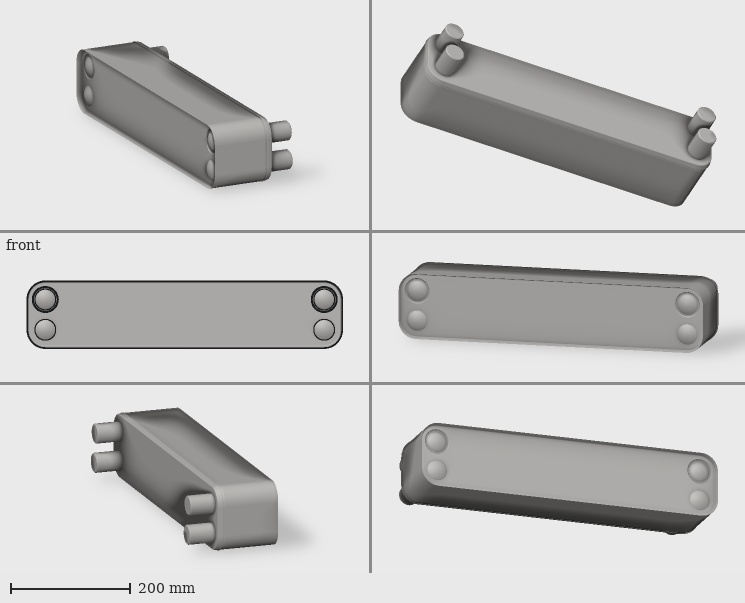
import cadquery as cq
import math

sheet = 1.5
dish_depth = 8.5
skirt_inset = 2.0
floor_fillet = 1.5
cover_length = 527.5
cover_height = 113.0
cover_corner = 31.0
cover_back = 107.0

rim_step = 1.0
pack_length = cover_length - 2 * rim_step
pack_height = cover_height - 2 * rim_step
pack_corner = 29.5
pack_shoulder = 94.0
pack_back = cover_back - sheet
pack_inset = 2.5

port_x = 233.0
port_z = 25.5
left_and_right = (-port_x, port_x)
pipe_radius = 17.0
pipe_length = 43.0
pipe_chamfer = 1.5
dome_radius = 17.5
dome_height = 6.5
dent_rim_radius = 21.5
dent_floor_radius = 20.0
dent_depth = 2.0


def facing_back(x, y, z):
    """Workplane at a point, with its normal along +Y."""
    return cq.Workplane(cq.Plane(origin=(x, y, z), xDir=(1, 0, 0), normal=(0, 1, 0)))


def rounded_block(length, height, corner, start, end, inset=0.0):
    """Rounded rectangle from Y = start to Y = end, leaning in by inset on every side."""
    taper = math.degrees(math.atan2(inset, end - start))
    outline = cq.Sketch().rect(length, height).vertices().fillet(corner)
    return facing_back(0, start, 0).placeSketch(outline).extrude(end - start, taper=taper)


def dish_form(length, height, corner, rim):
    """Solid with the shape of a dish's hollow, its wide end at Y = rim."""
    form = rounded_block(length, height, corner, rim, rim + dish_depth, skirt_inset)
    return form.faces(">Y").edges().fillet(floor_fillet)


def dished_plate(length, height, corner, rim):
    """Sheet dish opening towards -Y whose skirt thins to an edge at the rim."""
    band = rounded_block(length, height, corner, rim, rim + sheet)
    outside = dish_form(length, height, corner, rim + sheet)
    return band.union(outside).cut(dish_form(length, height, corner, rim))


def dent(x, floor):
    """Conical dent, narrowing towards +Y, around an upper port."""
    taper = math.degrees(math.atan2(dent_rim_radius - dent_floor_radius, dent_depth))
    return facing_back(x, floor, port_z).circle(dent_rim_radius).extrude(dent_depth, taper=taper)


def dome(x, base, z):
    """Spherical cap bulging towards -Y from a flat base."""
    sphere_radius = (dome_radius**2 + dome_height**2) / (2 * dome_height)
    profile = (
        cq.Workplane("XY")
        .moveTo(0, 0)
        .lineTo(dome_radius, 0)
        .radiusArc((0, -dome_height), sphere_radius)
        .close()
    )
    return profile.revolve(360, (0, 0, 0), (0, 1, 0)).translate((x, base, z))


def make_front_plate():
    plate = dished_plate(pack_length, pack_height, pack_corner, 0)
    for x in left_and_right:
        plate = plate.union(dent(x, dish_depth + sheet)).cut(dent(x, dish_depth))
        plate = plate.union(dome(x, dish_depth + dent_depth, port_z))
        plate = plate.union(dome(x, dish_depth, -port_z))
    return plate


def make_pack():
    body = rounded_block(pack_length, pack_height, pack_corner, sheet, pack_shoulder)
    shoulder = rounded_block(pack_length, pack_height, pack_corner, pack_shoulder, pack_back, pack_inset)
    pocket = dish_form(pack_length, pack_height, pack_corner, sheet)
    pack = body.union(shoulder).cut(pocket)
    for x in left_and_right:
        pack = pack.cut(dent(x, dish_depth + sheet))
    return pack


def make_cover():
    rim = cover_back - sheet - dish_depth
    cover = dished_plate(cover_length, cover_height, cover_corner, rim)
    for x in left_and_right:
        cover = cover.union(facing_back(x, cover_back, -port_z).circle(pipe_radius).extrude(sheet))
    return cover


def make_pipe(x, z, seat):
    pipe = facing_back(x, seat, z).circle(pipe_radius).extrude(pipe_length)
    return pipe.faces(">Y").chamfer(pipe_chamfer)


front_plate = make_front_plate()
pack = make_pack()
cover = make_cover()

pipes = []
for x in left_and_right:
    pipes.append(make_pipe(x, port_z, cover_back))
    pipes.append(make_pipe(x, -port_z, cover_back + sheet))

result = cq.Compound.makeCompound(
    [front_plate.val(), pack.val(), cover.val(), *[pipe.val() for pipe in pipes]]
)